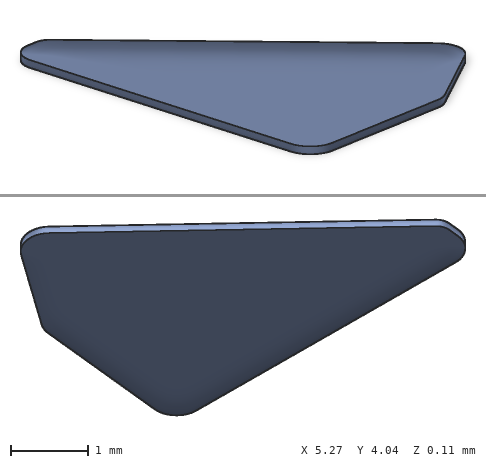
import cadquery as cq

length = 5.27
thickness = 0.11

left_corner_height = 0.655
right_corner_height = 2.55
apex_x = 4.25
apex_y = 4.24

corner_radius = 0.38
left_corner_radius = 0.23

outline = [
    (0, 0),
    (length, 0),
    (length, right_corner_height),
    (apex_x, apex_y),
    (0, left_corner_height),
]


def round_corner(plate, corner, radius):
    """Fillet the upright edge standing on one outline corner."""
    x, y = corner
    nearest = cq.selectors.NearestToPointSelector((x, y, thickness / 2))
    return plate.edges("|Z").edges(nearest).fillet(radius)


result = cq.Workplane("XY").polyline(outline).close().extrude(thickness)

for corner in outline[:-1]:
    result = round_corner(result, corner, corner_radius)
result = round_corner(result, outline[-1], left_corner_radius)